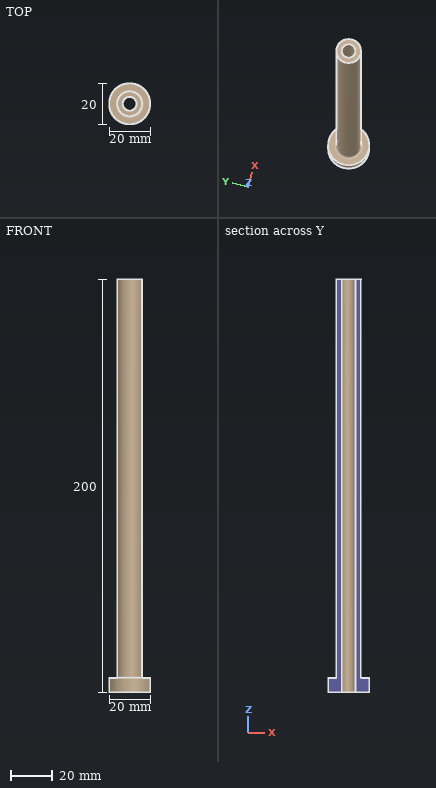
import cadquery as cq

total_length = 200.0
head_diameter = 20.0
head_height = 7.0
shaft_diameter = 12.0
bore_diameter = 6.5
root_fillet = 0.5

head = cq.Workplane("XY").circle(head_diameter / 2).extrude(head_height)

shaft = cq.Workplane("XY").circle(shaft_diameter / 2).extrude(total_length)
body = head.union(shaft)

head_top = cq.selectors.NearestToPointSelector((0, 0, head_height))
root_edge = cq.selectors.RadiusNthSelector(0)
body = body.faces(head_top).edges(root_edge).fillet(root_fillet)

result = body.faces(">Z").workplane().hole(bore_diameter)